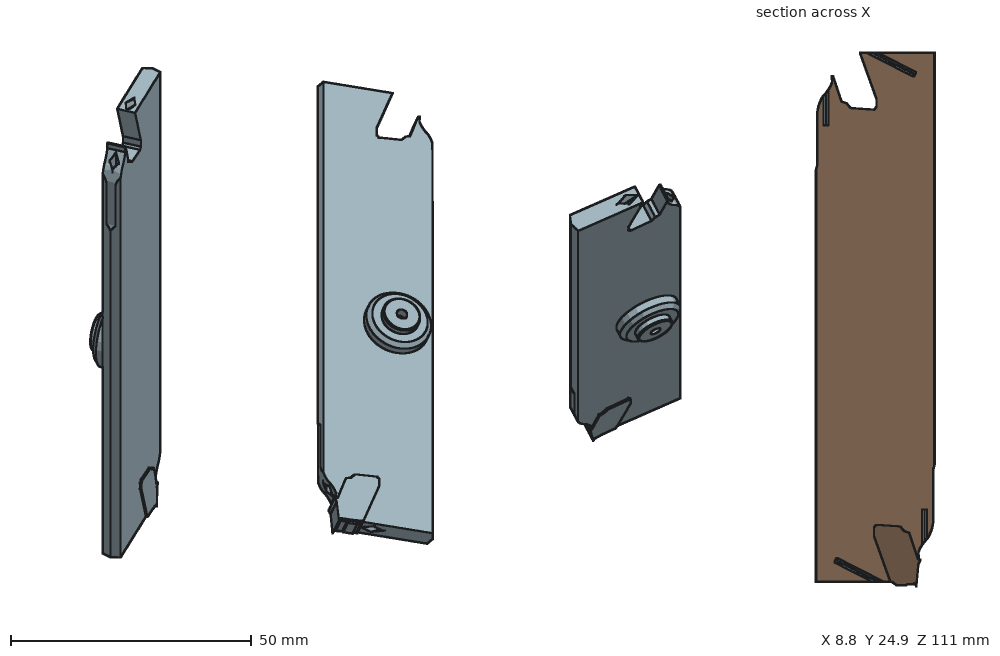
import cadquery as cq
import math


overall_length = 111.0
overall_depth = 8.8

blade_length = 110.0
blade_thickness = 4.0
blade_width = 24.9
edge_height = 0.7
overcut = 1.1

half_length = blade_length / 2
half_thickness = blade_thickness / 2
half_width = blade_width / 2

land_y = -(half_width - edge_height / 2)
land_top = 42.0
land_bottom = 31.5
land_runout = 1.2

seat_mouth = (-3.2, half_length)
jaw_tip_inner = (-8.8, 50.2)
seat_outline = [
    seat_mouth,
    (0.2, 45.4),
    (0.2, 43.7),
    (-0.2, 43.2),
    (-5.1, 43.5),
    (-6.0, 44.5),
    (-7.0, 44.8),
    jaw_tip_inner,
]

jaw_tip_outer = (-9.1, 50.2)
relief_start = (-9.0, 48.8)
relief_hollow = (-9.8, 47.3)
relief_middle = (-10.9, 46.0)
relief_bulge = (-11.8, 44.1)
relief_end = (land_y, land_top)

channel_diagonal = 2.1
jet_centre_y = -0.7
jet_angle = 27.0
jet_depth = 10.0
flank_channel_y = -10.2
flank_channel_bottom = 40.0

insert_thickness = 4.7
cutting_width = 5.0
nose_upper = (9.0, -50.6)
nose_lower = (6.4, -55.1)
cutting_corner = (8.5, half_length - overall_length)
insert_front_outline = [
    (8.2, -55.3),
    cutting_corner,
    (9.0, -51.3),
    (9.4, -50.4),
]
chip_former_width = 3.5
chip_former_outline = [
    (3.5, -55.1),
    (4.4, -55.7),
    (6.4, -55.7),
    (6.7, -55.5),
    (8.0, -55.5),
    (8.2, -55.2),
]

button_y = -4.0
button_z = -3.8
collar_radius = 7.0
collar_height = 2.8
collar_chamfer = 1.0
stud_radius = 4.0
stud_height = overall_depth - cutting_width / 2 - half_thickness
stud_chamfer = 0.2
button_hole_radius = 1.1
button_hole_depth = 2.2


def half_turn(point):
    """Turn a (y, z) point half a turn about the X axis."""
    return (-point[0], -point[1])


def plate(outline, thickness):
    """Flat prism of a (y, z) outline, centred on x = 0."""
    return cq.Workplane("YZ").polyline(outline).close().extrude(thickness / 2, both=True)


def diamond_bar(start, direction, length):
    """Square bar standing on its corner, starting at a (y, z) point."""
    plane = cq.Plane(origin=(0, *start), xDir=(1, 0, 0), normal=(0, *direction))
    half = channel_diagonal / 2
    corners = [(half, 0), (0, half), (-half, 0), (0, -half)]
    return cq.Workplane(plane).polyline(corners).close().extrude(length)


def make_bar():
    """Bar with a shallow V along both long edges."""
    shoulder = half_width - edge_height
    section = [
        (half_thickness, -shoulder),
        (half_thickness, shoulder),
        (0, half_width),
        (-half_thickness, shoulder),
        (-half_thickness, -shoulder),
        (0, -half_width),
    ]
    bar = cq.Workplane("XY").workplane(offset=-half_length)
    return bar.polyline(section).close().extrude(blade_length)


def make_seat_cut():
    """Material removed for the insert seat and the relief in front of it."""
    outside_y = -half_width - overcut
    above_z = half_length + overcut
    outline = cq.Workplane("YZ").polyline(seat_outline).lineTo(*jaw_tip_outer)
    outline = outline.lineTo(*relief_start)
    outline = outline.threePointArc(relief_hollow, relief_middle)
    outline = outline.threePointArc(relief_bulge, relief_end)
    outline = outline.lineTo(outside_y, land_top).lineTo(outside_y, above_z)
    outline = outline.lineTo(seat_mouth[0], above_z).close()
    return outline.extrude(half_thickness + overcut, both=True)


def make_land_cut():
    """Flat land along the V-shaped edge, with a ramp at its lower end."""
    outline = [
        (land_y, land_top),
        (land_y, land_bottom),
        (-half_width, land_bottom - land_runout),
        (-half_width - overcut, land_bottom - land_runout),
        (-half_width - overcut, land_top),
    ]
    return plate(outline, blade_thickness)


def make_jet_channel():
    """Blind channel that leaves the end face towards the cutting corner."""
    run = math.cos(math.radians(jet_angle))
    rise = math.sin(math.radians(jet_angle))
    reach = channel_diagonal / rise
    start = (jet_centre_y + jet_depth * run, half_length - jet_depth * rise)
    return diamond_bar(start, (-run, rise), jet_depth + reach)


def make_flank_channel():
    """Blind channel that leaves the front relief."""
    start = (flank_channel_y, flank_channel_bottom)
    return diamond_bar(start, (0, 1), half_length - flank_channel_bottom)


def make_button():
    """Stepped round button, turned about its axis and standing on the -X face."""
    profile = [
        (0, 0),
        (collar_radius, 0),
        (collar_radius, collar_height - collar_chamfer),
        (collar_radius - collar_chamfer, collar_height),
        (stud_radius, collar_height),
        (stud_radius, stud_height - stud_chamfer),
        (stud_radius - stud_chamfer, stud_height),
        (button_hole_radius, stud_height),
        (button_hole_radius, stud_height - button_hole_depth),
        (0, stud_height - button_hole_depth),
    ]
    base = cq.Plane(origin=(-half_thickness, button_y, button_z), xDir=(0, 1, 0), normal=(0, 0, 1))
    return cq.Workplane(base).polyline(profile).close().revolve(360, (0, 0), (0, 1))


def make_blade():
    """Blade with both ends cut and the button on its side."""
    blade = make_bar()
    end_cuts = [make_seat_cut(), make_land_cut(), make_jet_channel(), make_flank_channel()]
    for turn in (0, 180):
        for end_cut in end_cuts:
            blade = blade.cut(end_cut.rotate((0, 0, 0), (1, 0, 0), turn))
    return blade.union(make_button())


def make_nose():
    """Nose of the insert, widening evenly from a slanting line to the cutting corner."""
    line_y = nose_lower[0] - nose_upper[0]
    line_z = nose_lower[1] - nose_upper[1]
    line_length = math.hypot(line_y, line_z)
    along = (0, line_y / line_length, line_z / line_length)
    outward = (0, -along[2], along[1])
    corner_offset = (cutting_corner[0] - nose_upper[0], cutting_corner[1] - nose_upper[1])
    depth = corner_offset[0] * outward[1] + corner_offset[1] * outward[2]
    section = [
        (0, -insert_thickness / 2),
        (depth, -cutting_width / 2),
        (depth, cutting_width / 2),
        (0, insert_thickness / 2),
    ]
    plane = cq.Plane(origin=(0, *nose_upper), xDir=outward, normal=along)
    reach = 2 * line_length
    wedge = cq.Workplane(plane).polyline(section).close().extrude(reach, both=True)
    return wedge.intersect(plate(insert_outline(), cutting_width))


def insert_outline():
    """The turned seat outline, closed round the front of the insert."""
    seat = [half_turn(point) for point in seat_outline]
    return seat[::-1] + insert_front_outline


def make_insert():
    """Cutting insert in the seat of the lower end."""
    body = plate(insert_outline(), insert_thickness).union(make_nose())
    return body.union(plate(chip_former_outline, chip_former_width))


blade = make_blade()
insert = make_insert()

result = cq.Compound.makeCompound([blade.val(), insert.val()])